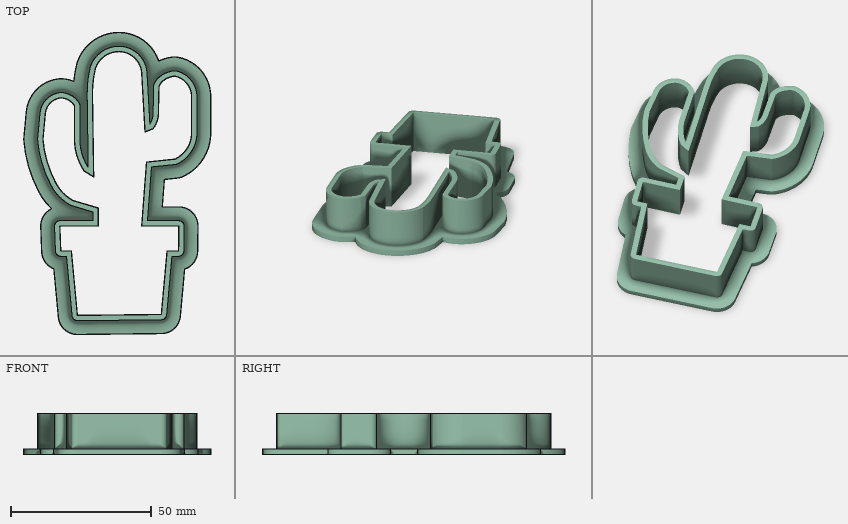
import cadquery as cq

total_height = 14.7
flange_thickness = 2.0
wall_thickness = 1.9
flange_width = 6.9

pot_rim_top = -15.2
pot_rim_bottom = -24.0
pot_base_left = -46.9
pot_base_right = -46.6

left_crotch = (-8.5, 2.3)
right_crotch = (9.7, 18.3)
right_armpit = (10.2, 7.6)
left_armpit = (-6.9, -8.7)


def trace_trunk(path):
    """Rounded central limb, from the left crotch over to the right crotch."""
    return (
        path.lineTo(-8.9, 31.4)
        .threePointArc((-8.7, 36.4), (-7.9, 41.1))
        .threePointArc((-5.0, 45.1), (0.5, 46.9))
        .threePointArc((5.8, 44.9), (8.5, 39.3))
        .lineTo(*right_crotch)
    )


def trace_right_arm(path):
    """Right arm, from its crotch around to its armpit."""
    return (
        path.lineTo(12.6, 19.5)
        .threePointArc((14.0, 21.9), (14.5, 24.4))
        .lineTo(14.7, 34.6)
        .lineTo(15.6, 36.0)
        .threePointArc((17.6, 37.4), (20.2, 38.2))
        .threePointArc((24.3, 35.9), (26.2, 31.4))
        .lineTo(26.2, 17.3)
        .threePointArc((24.3, 11.9), (20.4, 8.7))
        .lineTo(*right_armpit)
    )


def trace_pot(path):
    """Stem, rim and tapered body of the pot, up to the left armpit."""
    return (
        path.lineTo(8.5, pot_rim_top)
        .lineTo(21.7, pot_rim_top)
        .lineTo(21.6, pot_rim_bottom)
        .lineTo(17.5, pot_rim_bottom)
        .lineTo(15.5, pot_base_right)
        .lineTo(-14.3, pot_base_left)
        .lineTo(-16.5, pot_rim_bottom)
        .lineTo(-20.2, pot_rim_bottom)
        .lineTo(-20.5, pot_rim_top)
        .lineTo(left_armpit[0], pot_rim_top)
        .lineTo(*left_armpit)
    )


def trace_left_arm(path):
    """Left arm, from its armpit back to the left crotch."""
    return (
        path.lineTo(-15.9, -6.0)
        .threePointArc((-19.5, -3.3), (-22.2, 0.5))
        .threePointArc((-25.4, 8.8), (-26.6, 15.7))
        .lineTo(-25.7, 25.0)
        .threePointArc((-23.9, 28.7), (-20.2, 30.4))
        .threePointArc((-17.5, 29.7), (-15.4, 27.6))
        .lineTo(-15.4, 14.6)
        .threePointArc((-14.3, 9.1), (-11.9, 4.4))
        .lineTo(*left_crotch)
    )


limbs = (
    (left_crotch, trace_trunk),
    (right_crotch, trace_right_arm),
    (right_armpit, trace_pot),
    (left_armpit, trace_left_arm),
)


def silhouette():
    path = cq.Workplane("XY").moveTo(*left_crotch)
    for _, trace in limbs:
        path = trace(path)
    return path.close()


def grown_limbs(growth, height):
    """Limbs closed off one by one, grown outward with rounded corners and joined."""
    joined = cq.Workplane("XY")
    for start, trace in limbs:
        limb = trace(cq.Workplane("XY").moveTo(*start)).close()
        joined = joined.add(limb.offset2D(growth, "arc").extrude(height))
    return joined.combine()


flange = grown_limbs(flange_width, flange_thickness)
blade = grown_limbs(wall_thickness, total_height)
opening = silhouette().extrude(total_height)

result = flange.union(blade).cut(opening).translate((0, 0, -total_height / 2))